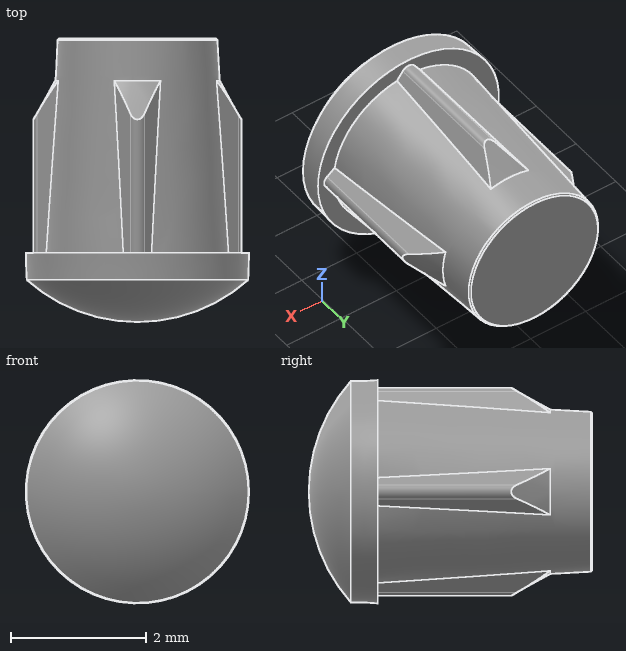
import cadquery as cq
import math

total_length = 4.19
dome_height = 0.625
flange_back = 1.022
flange_radius = 1.65
dome_edge_radius = 1.64

shank_root_radius = 1.36
shank_end_radius = 1.18
end_chamfer = 0.025

rib_count = 4
rib_crest_radius = 1.538
rib_round_radius = 0.13
rib_half_angle = math.atan(0.75)
rib_ramp_start = 2.99
rib_end = 3.565


def shank_radius(y):
    """Radius of the tapered shank at a given length."""
    fraction = (y - flange_back) / (total_length - flange_back)
    return shank_root_radius + fraction * (shank_end_radius - shank_root_radius)


def make_body():
    """Dome, flange and shank as one revolved half profile."""
    sphere_radius = (dome_edge_radius**2 + dome_height**2) / (2 * dome_height)
    mid_radius = dome_edge_radius / 2
    mid_height = sphere_radius - math.sqrt(sphere_radius**2 - mid_radius**2)
    chamfer_start = total_length - end_chamfer
    return (
        cq.Workplane("XY")
        .threePointArc((mid_radius, mid_height), (dome_edge_radius, dome_height))
        .lineTo(flange_radius, flange_back)
        .lineTo(shank_root_radius, flange_back)
        .lineTo(shank_radius(chamfer_start), chamfer_start)
        .lineTo(shank_end_radius - end_chamfer, total_length)
        .lineTo(0, total_length)
        .close()
        .revolve(360, (0, 0, 0), (0, 1, 0))
    )


def make_rib_envelope():
    """Round envelope whose conical end forms the rib lead-ins."""
    return (
        cq.Workplane("XY")
        .moveTo(0, dome_height)
        .lineTo(rib_crest_radius, dome_height)
        .lineTo(rib_crest_radius, rib_ramp_start)
        .lineTo(shank_radius(rib_end), rib_end)
        .lineTo(0, rib_end)
        .close()
        .revolve(360, (0, 0, 0), (0, 1, 0))
    )


def make_rib():
    """Rib along +Z, starting inside the flange and reaching into the shank."""
    round_center = rib_crest_radius - rib_round_radius
    tangent_x = rib_round_radius * math.cos(rib_half_angle)
    tangent_z = round_center + rib_round_radius * math.sin(rib_half_angle)
    foot_z = shank_end_radius / 2
    foot_x = tangent_x + (tangent_z - foot_z) * math.tan(rib_half_angle)
    return (
        cq.Workplane("XZ", origin=(0, dome_height, 0))
        .moveTo(-foot_x, foot_z)
        .lineTo(-tangent_x, tangent_z)
        .threePointArc((0, rib_crest_radius), (tangent_x, tangent_z))
        .lineTo(foot_x, foot_z)
        .close()
        .extrude(dome_height - rib_end)
        .intersect(make_rib_envelope())
    )


result = make_body()
rib = make_rib()
for index in range(rib_count):
    angle = index * 360 / rib_count
    result = result.union(rib.rotate((0, 0, 0), (0, 1, 0), angle))